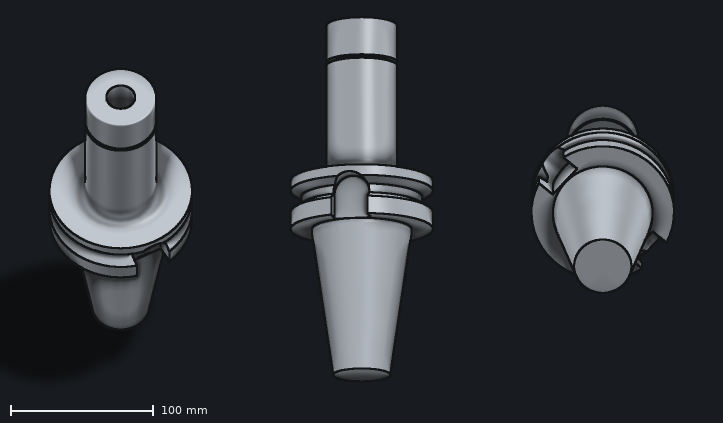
import cadquery as cq
import math


gauge_diameter = 69.85
taper_length = 101.8
taper_rate = 7 / 24
tail_diameter = gauge_diameter - taper_rate * taper_length

flange_diameter = 100.0
flange_bottom = 3.0
flange_top = 38.0
groove_floor_diameter = 85.0
groove_mouth_bottom = 15.5
groove_mouth_top = 30.4
groove_wall_angle = 30.0
groove_depth = (flange_diameter - groove_floor_diameter) / 2
groove_wall_rise = groove_depth * math.tan(math.radians(groove_wall_angle))

slot_width = 25.7
slot_floor_offset = 35.4
slot_top = 33.3
slot_radius = slot_width / 2
slot_arc_center = slot_top - slot_radius

body_diameter = 50.0
body_fillet = 10.0
nose_height = 150.0
nut_length = 27.0
nut_rounding = 1.0
neck_diameter = 40.0
neck_length = 2.5
nut_bottom = nose_height - nut_length
body_top = nut_bottom - neck_length

bore_diameter = 20.0
bore_depth = 60.0


def turned_body():
    """Revolve the half section of taper, flange, body and nut about Z."""
    body_radius = body_diameter / 2
    neck_radius = neck_diameter / 2
    gauge_radius = gauge_diameter / 2
    flange_radius = flange_diameter / 2
    floor_radius = groove_floor_diameter / 2
    fillet_center = (body_radius + body_fillet, flange_top + body_fillet)
    fillet_reach = body_fillet * math.sqrt(0.5)
    fillet_middle = (fillet_center[0] - fillet_reach, fillet_center[1] - fillet_reach)
    section = (
        cq.Workplane("XZ")
        .moveTo(0, -taper_length)
        .lineTo(tail_diameter / 2, -taper_length)
        .lineTo(gauge_radius, 0)
        .lineTo(gauge_radius, flange_bottom)
        .lineTo(flange_radius, flange_bottom)
        .lineTo(flange_radius, groove_mouth_bottom)
        .lineTo(floor_radius, groove_mouth_bottom + groove_wall_rise)
        .lineTo(floor_radius, groove_mouth_top - groove_wall_rise)
        .lineTo(flange_radius, groove_mouth_top)
        .lineTo(flange_radius, flange_top)
        .lineTo(fillet_center[0], flange_top)
        .threePointArc(fillet_middle, (body_radius, fillet_center[1]))
        .lineTo(body_radius, body_top)
        .lineTo(neck_radius, body_top)
        .lineTo(neck_radius, nut_bottom)
        .lineTo(body_radius, nut_bottom)
        .lineTo(body_radius, nose_height - nut_rounding)
        .tangentArcPoint((-nut_rounding, nut_rounding))
        .lineTo(0, nose_height)
        .close()
    )
    return section.revolve(360, (0, 0, 0), (0, 1, 0))


def drive_slot(side):
    """Round-topped slot cutter, open downward; side is +1 for +X, -1 for -X."""
    slot_depth = flange_diameter / 2 - slot_floor_offset
    return (
        cq.Workplane("YZ", origin=(side * slot_floor_offset, 0, 0))
        .moveTo(-slot_radius, flange_bottom)
        .lineTo(slot_radius, flange_bottom)
        .lineTo(slot_radius, slot_arc_center)
        .threePointArc((0, slot_top), (-slot_radius, slot_arc_center))
        .close()
        .extrude(side * slot_depth)
    )


def nose_bore():
    """Cylinder that cuts the blind bore down from the nose face."""
    floor_height = nose_height - bore_depth
    return cq.Workplane("XY", origin=(0, 0, floor_height)).circle(bore_diameter / 2).extrude(bore_depth)


result = turned_body().cut(nose_bore())
for slot_side in (1, -1):
    result = result.cut(drive_slot(slot_side))